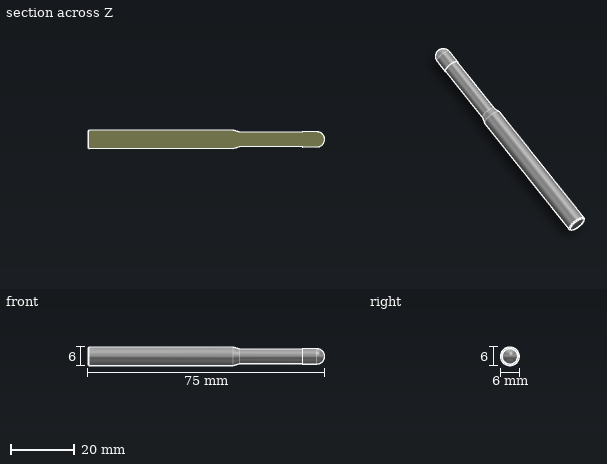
import cadquery as cq

total_length = 75.0
shank_diameter = 6.0
neck_diameter = 4.8
ball_diameter = 5.0
shank_length = 46.0
taper_length = 2.0
cutting_length = 7.0
rear_chamfer = 0.3

shank_radius = shank_diameter / 2
neck_radius = neck_diameter / 2
ball_radius = ball_diameter / 2

rear_x = -total_length / 2
tip_x = total_length / 2
taper_start_x = rear_x + shank_length
taper_end_x = taper_start_x + taper_length
head_start_x = tip_x - cutting_length
ball_centre_x = tip_x - ball_radius

result = (
    cq.Workplane("XY")
    .moveTo(rear_x, 0)
    .lineTo(rear_x, shank_radius - rear_chamfer)
    .lineTo(rear_x + rear_chamfer, shank_radius)
    .lineTo(taper_start_x, shank_radius)
    .lineTo(taper_end_x, neck_radius)
    .lineTo(head_start_x, neck_radius)
    .lineTo(head_start_x, ball_radius)
    .lineTo(ball_centre_x, ball_radius)
    .radiusArc((tip_x, 0), ball_radius)
    .close()
    .revolve(360, (0, 0, 0), (1, 0, 0))
)